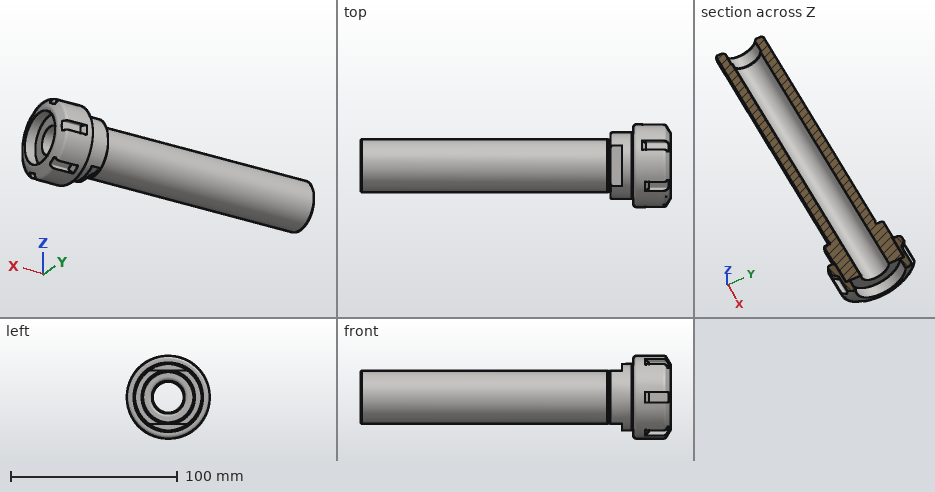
import cadquery as cq
import math

length = 186.3

shank_radius = 16.0
shank_chamfer_length = 1.0
shank_chamfer_depth = 1.0
relief_start = 147.9
relief_ramp = 1.1
relief_depth = 0.4
neck_start = 150.0
neck_radius = 20.1
neck_round = 1.3
neck_end = 162.6
flat_end = 156.8
flat_distance = shank_radius
bore_radius = 9.3
thread_radius = 19.7
entry_radius = 9.9
entry_depth = 9.7
mouth_round = 2.2

nut_start = 163.5
nut_radius = 25.0
nut_rear_round = 2.2
nut_front_round = 2.0
nut_cone_start = 181.8
nut_cone_angle = 60.0
nut_rim_round = 2.8
nut_mouth_radius = 20.9
nut_opening_radius = 16.8
lip_thickness = 7.5
lip_start = length - lip_thickness

slot_count = 6
slot_width = 6.1
slot_floor_radius = 21.8
slot_floor_round = 0.5
slot_start = 170.6
long_slot_start = 168.8
slot_ramp_length = 2.6


def turned(outline):
    """Revolve a half outline drawn as (x, radius) about the X axis."""
    return outline.close().revolve(360, (0, 0, 0), (1, 0, 0))


def bore_entry():
    """Slightly wider start of the bore, flared to the rear by a convex round."""
    outline = (
        cq.Workplane("XY")
        .lineTo(0, entry_radius + mouth_round)
        .radiusArc((mouth_round, entry_radius), -mouth_round)
        .lineTo(entry_depth, entry_radius)
        .lineTo(entry_depth, 0)
    )
    return turned(outline)


def wrench_flat_cutter(side):
    """Block that leaves one flat on the neck; side is +1 (top) or -1 (bottom)."""
    height = neck_radius
    return cq.Workplane("XY").box(flat_end - neck_start, 2 * neck_radius, height).translate(
        ((neck_start + flat_end) / 2, 0, side * (flat_distance + height / 2))
    )


def make_holder():
    relief_radius = shank_radius - relief_depth
    thread_step = neck_radius - thread_radius
    outline = (
        cq.Workplane("XY")
        .moveTo(0, bore_radius)
        .lineTo(0, shank_radius - shank_chamfer_depth)
        .lineTo(shank_chamfer_length, shank_radius)
        .lineTo(relief_start, shank_radius)
        .lineTo(relief_start + relief_ramp, relief_radius)
        .lineTo(neck_start, relief_radius)
        .lineTo(neck_start, neck_radius - neck_round)
        .radiusArc((neck_start + neck_round, neck_radius), neck_round)
        .lineTo(neck_end, neck_radius)
        .lineTo(neck_end + thread_step, thread_radius)
        .lineTo(lip_start, thread_radius)
        .lineTo(lip_start, bore_radius)
    )
    holder = turned(outline).cut(bore_entry())
    for side in (1, -1):
        holder = holder.cut(wrench_flat_cutter(side))
    return holder


def make_nut_blank():
    angle = math.radians(nut_cone_angle)
    cone_x = nut_cone_start + nut_front_round * math.sin(angle)
    cone_radius = nut_radius - nut_front_round * (1 - math.cos(angle))
    face_radius = cone_radius - (length - cone_x) * math.tan(angle)
    rim_tangent = nut_rim_round * math.tan((math.pi / 2 - angle) / 2)
    rim_start = (length - rim_tangent * math.cos(angle), face_radius + rim_tangent * math.sin(angle))
    rim_end = (length, face_radius - rim_tangent)
    mouth_chamfer = nut_mouth_radius - thread_radius
    outline = (
        cq.Workplane("XY")
        .moveTo(nut_start, nut_mouth_radius)
        .lineTo(nut_start, nut_radius - nut_rear_round)
        .radiusArc((nut_start + nut_rear_round, nut_radius), nut_rear_round)
        .lineTo(nut_cone_start, nut_radius)
        .radiusArc((cone_x, cone_radius), nut_front_round)
        .lineTo(*rim_start)
        .radiusArc(rim_end, nut_rim_round)
        .lineTo(length, nut_opening_radius)
        .lineTo(lip_start, nut_opening_radius)
        .lineTo(lip_start, thread_radius)
        .lineTo(nut_start + mouth_chamfer, thread_radius)
    )
    return turned(outline)


def slot_cutter(start):
    """Slot on the -Y side: a ramp down from the cylinder, then a flat floor to the front."""
    depth = nut_radius - slot_floor_radius
    outline = (
        cq.Workplane("XY")
        .moveTo(start - slot_ramp_length, -nut_radius - depth)
        .lineTo(start + slot_ramp_length, -slot_floor_radius)
        .lineTo(length, -slot_floor_radius)
        .lineTo(length, -nut_radius - depth)
        .close()
    )
    cutter = outline.extrude(slot_width / 2, both=True)
    floor_edges = cutter.faces(">Y").edges("|X")
    return floor_edges.fillet(slot_floor_round)


def make_nut():
    nut = make_nut_blank()
    for index in range(slot_count):
        angle = index * 360 / slot_count
        on_back_half = math.cos(math.radians(angle)) < 0
        start = long_slot_start if on_back_half else slot_start
        nut = nut.cut(slot_cutter(start).rotate((0, 0, 0), (1, 0, 0), angle))
    return nut


holder = make_holder()
nut = make_nut()

result = cq.Compound.makeCompound([holder.val(), nut.val()])